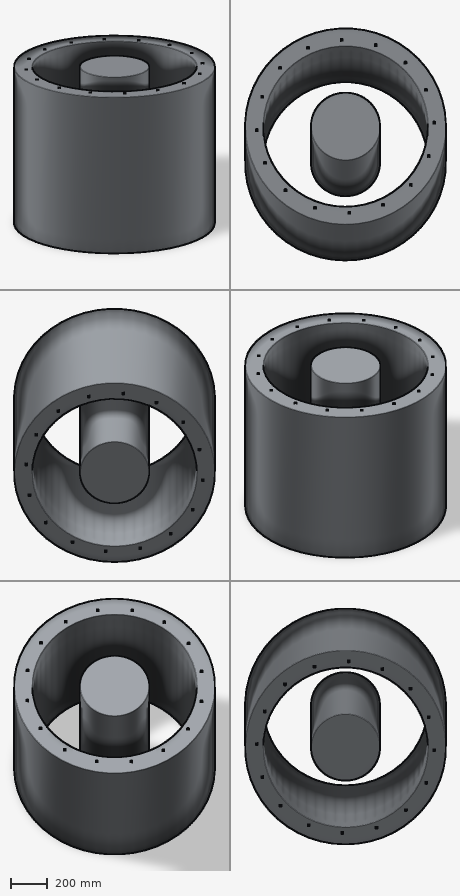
import cadquery as cq

RING_OUTER_DIAMETER = 1100.0
RING_INNER_DIAMETER = 900.0
HEIGHT = 900.0

CORE_DIAMETER = 380.0

EDGE_FILLET = 2.0

HOLE_COUNT = 16
HOLE_DIAMETER = 12.0
HOLE_CIRCLE_DIAMETER = 970.0
HOLE_PITCH_ANGLE = 360.0 / HOLE_COUNT


def make_ring():
    """Tube with rounded end edges and a circle of axial through holes."""
    tube = (
        cq.Workplane("XY")
        .circle(RING_OUTER_DIAMETER / 2)
        .circle(RING_INNER_DIAMETER / 2)
        .extrude(HEIGHT)
        .edges("%CIRCLE")
        .fillet(EDGE_FILLET)
    )
    holes = (
        cq.Workplane("XY")
        .polarArray(HOLE_CIRCLE_DIAMETER / 2, HOLE_PITCH_ANGLE / 2, 360, HOLE_COUNT)
        .circle(HOLE_DIAMETER / 2)
        .extrude(HEIGHT)
    )
    return tube.cut(holes)


def make_core():
    """Plain cylinder with rounded end edges."""
    return (
        cq.Workplane("XY")
        .circle(CORE_DIAMETER / 2)
        .extrude(HEIGHT)
        .edges("%CIRCLE")
        .fillet(EDGE_FILLET)
    )


ring = make_ring()
core = make_core()

result = cq.Compound.makeCompound([ring.val(), core.val()])